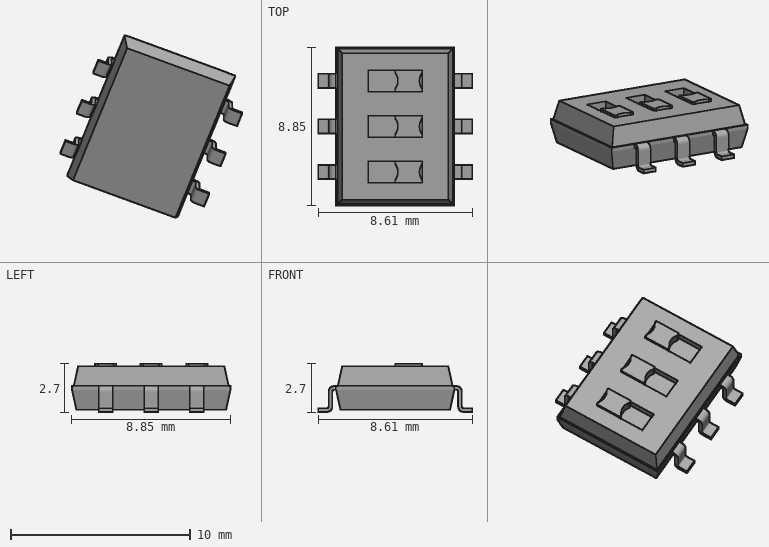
import cadquery as cq
import math


position_count = 3
pitch = 2.54

lead_span = 8.61
lead_thickness = 0.22
lead_width = 0.8
bend_inner_radius = 0.1
bend_outer_radius = bend_inner_radius + lead_thickness
shank_outer_x = 3.72
shank_inner_x = shank_outer_x - lead_thickness
foot_tip_x = lead_span / 2

waist_length_x = 6.61
waist_length_y = 8.85
overall_height = 2.7
standoff = 0.13
slider_rise = 0.13
housing_top_z = overall_height - slider_rise
half_height = (housing_top_z - standoff - lead_thickness) / 2
waist_bottom_z = standoff + half_height
waist_top_z = waist_bottom_z + lead_thickness
draft_angle = 12.5
ledge_width = 0.1

slot_length = 3.0
slot_width = 1.2
slot_depth = 0.45
slider_length = slot_length / 2
hollow_half_width = 0.44
hollow_depth = 0.15


def position_y(index):
    """Y of the centre line of one switch position."""
    return (index - (position_count - 1) / 2) * pitch


def tapered_half(start_z, inset, direction):
    """Half of the housing, narrowing away from the waist; direction is +1 up or -1 down."""
    taper_inset = half_height * math.tan(math.radians(draft_angle))
    base_x = waist_length_x - 2 * inset
    base_y = waist_length_y - 2 * inset
    return (
        cq.Workplane("XY", origin=(0, 0, start_z))
        .rect(base_x, base_y)
        .workplane(offset=direction * half_height)
        .rect(base_x - 2 * taper_inset, base_y - 2 * taper_inset)
        .loft(ruled=True)
    )


def make_slot(center_y):
    """Rectangular pocket cutter for one slider."""
    return (
        cq.Workplane("XY", origin=(0, center_y, housing_top_z - slot_depth))
        .rect(slot_length, slot_width)
        .extrude(slot_depth)
    )


def make_slider(center_y):
    """Slider filling the +X half of its slot, with a shallow round hollow in each end."""
    start_x = slot_length / 2 - slider_length
    end_x = slot_length / 2
    half_width = slot_width / 2
    return (
        cq.Workplane("XY", origin=(0, center_y, housing_top_z - slot_depth))
        .moveTo(start_x, -half_width)
        .lineTo(end_x, -half_width)
        .lineTo(end_x, -hollow_half_width)
        .threePointArc((end_x - hollow_depth, 0), (end_x, hollow_half_width))
        .lineTo(end_x, half_width)
        .lineTo(start_x, half_width)
        .lineTo(start_x, hollow_half_width)
        .threePointArc((start_x + hollow_depth, 0), (start_x, -hollow_half_width))
        .close()
        .extrude(slot_depth + slider_rise)
    )


def make_housing():
    """Housing with its slots, and the sliders as one piece with it."""
    waist = (
        cq.Workplane("XY", origin=(0, 0, waist_bottom_z))
        .rect(waist_length_x, waist_length_y)
        .extrude(lead_thickness)
    )
    body = (
        waist
        .union(tapered_half(waist_bottom_z, 0, -1))
        .union(tapered_half(waist_top_z, ledge_width, 1))
    )
    for index in range(position_count):
        center_y = position_y(index)
        body = body.cut(make_slot(center_y)).union(make_slider(center_y))
    return body


def make_lead(center_y):
    """Gull-wing lead on the +X side, butting against the waist band."""
    root_x = waist_length_x / 2
    profile = (
        cq.Workplane("XZ", origin=(0, center_y, 0))
        .moveTo(root_x, waist_top_z)
        .lineTo(shank_outer_x - bend_outer_radius, waist_top_z)
        .radiusArc((shank_outer_x, waist_top_z - bend_outer_radius), bend_outer_radius)
        .lineTo(shank_outer_x, lead_thickness + bend_inner_radius)
        .radiusArc((shank_outer_x + bend_inner_radius, lead_thickness), -bend_inner_radius)
        .lineTo(foot_tip_x, lead_thickness)
        .lineTo(foot_tip_x, 0)
        .lineTo(shank_inner_x + bend_outer_radius, 0)
        .radiusArc((shank_inner_x, bend_outer_radius), bend_outer_radius)
        .lineTo(shank_inner_x, waist_bottom_z - bend_inner_radius)
        .radiusArc((shank_inner_x - bend_inner_radius, waist_bottom_z), -bend_inner_radius)
        .lineTo(root_x, waist_bottom_z)
        .close()
    )
    return profile.extrude(lead_width / 2, both=True)


housing = make_housing()

leads = []
for position in range(position_count):
    lead = make_lead(position_y(position))
    leads.append(lead.val())
    leads.append(lead.mirror("YZ").val())

result = cq.Compound.makeCompound([housing.val(), *leads])